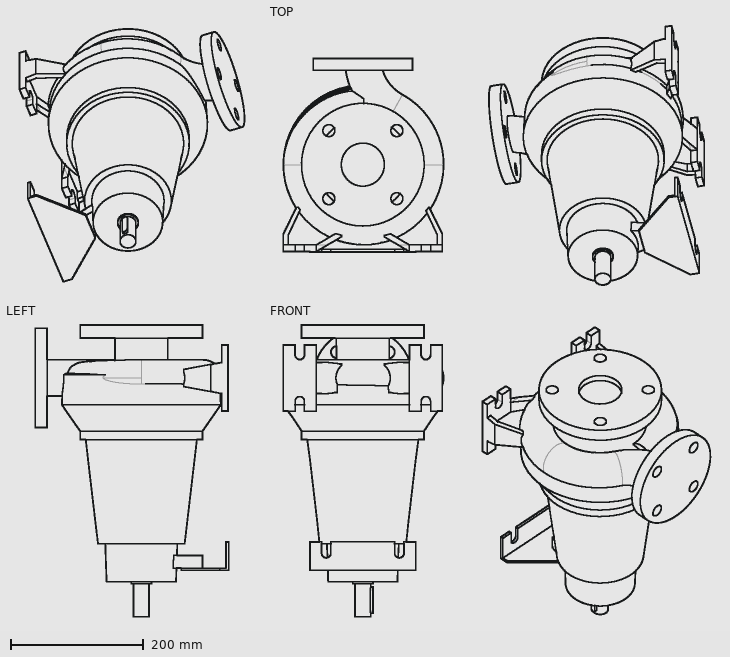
import cadquery as cq
import math


SUCTION_FACE_Z = 80.0
SUCTION_FLANGE_DIA = 185.0
SUCTION_FLANGE_THICKNESS = 20.0
SUCTION_BOLT_CIRCLE = 145.0
SUCTION_BORE_DIA = 65.0
SUCTION_BORE_DEPTH = 10.0
NECK_DIA = 80.0

DISCHARGE_FACE_Y = 160.0
DISCHARGE_FLANGE_DIA = 150.0
DISCHARGE_FLANGE_THICKNESS = 18.0
DISCHARGE_BOLT_CIRCLE = 110.0

FLANGE_HOLE_DIA = 18.0
FLANGE_HOLE_COUNT = 4
FLANGE_HOLE_START_ANGLE = 45.0

TUBE_RADIUS = 27.5
SCROLL_RADIUS = 93.5
SCROLL_CENTRE_X = 1.0
TONGUE_TUBE_RADIUS = 23.5
TONGUE_INSET = 5.0
TONGUE_EASING = 1.35
TONGUE_SECTIONS = 4
TONGUE_SWEEP_ANGLE = 90.0

CASING_RIM_RADIUS = 118.0
CASING_BOTTOM_RADIUS = 120.0
CASING_RIM_Z = 4.5
CASING_EDGE_RADIUS = 115.5
CASING_EDGE_Z = 6.5
CASING_CROWN_Z = 21.5
CASING_BOTTOM_Z = -40.5
BAND_RADIUS = SUCTION_FLANGE_DIA / 2
BAND_TOP_Z = -80.0
BAND_BOTTOM_Z = -93.0
BRACKET_TOP_RADIUS = 84.0
BRACKET_BOTTOM_RADIUS = 65.5
BRACKET_BOTTOM_Z = -250.0
HOUSING_TOP_RADIUS = 54.5
HOUSING_BOTTOM_RADIUS = 52.5
HOUSING_BOTTOM_Z = -307.5
COLLAR_RADIUS = 15.5
COLLAR_BOTTOM_Z = -310.5
SHAFT_RADIUS = 12.0
SHAFT_END_Z = -360.0

KEY_WIDTH = 8.0
KEY_LENGTH = 40.0
KEY_TOP_X = 15.5
KEY_CENTRE_Z = -335.0

FOOT_OUTER_X = 120.0
FOOT_WIDTH = 50.0
FOOT_HEIGHT = 100.0
FOOT_BACK_Y = -121.0
FOOT_FACE_Y = -131.0
FOOT_SLOT_WIDTH = 14.0
FOOT_SLOT_DEPTH = 22.0
RIB_THICKNESS = 7.5
RIB_BEND_Y = -104.5
RIB_INNER_BEND_Y = -106.4
RIB_TIP_Y = -64.0
RIB_TIP_X = 100.0
RIB_HALF_HEIGHT_AT_FOOT = 23.5
RIB_HALF_HEIGHT_AT_TIP = 13.0
INNER_RIB_TIP_X = 32.0
INNER_RIB_SLOPE = 0.59
WEB_THICKNESS = 8.0

SUPPORT_FACE_Y = -132.0
SUPPORT_WIDTH = 160.0
SUPPORT_TOP_Z = -247.0
SUPPORT_BOTTOM_Z = -290.0
SUPPORT_WALL = 4.5
SUPPORT_FLOOR = 3.5
SUPPORT_SLOT_X = 55.0
SUPPORT_SLOT_WIDTH = 14.0
SUPPORT_SLOT_DEPTH = 24.0
FLOOR_SHOULDER_Y = -118.0
FLOOR_TIP_Y = -60.0
FLOOR_TIP_HALF_WIDTH = 22.0
BLOCK_TOP_Z = -267.5
BLOCK_ROOT_Y = -48.0
BLOCK_ROOT_HALF_WIDTH = 23.0
BLOCK_END_Y = -92.5
BLOCK_END_HALF_WIDTH = 10.0


def flange(plane, diameter, thickness, bolt_circle):
    """Round flange growing along the plane's normal, with evenly spaced bolt holes."""
    disc = cq.Workplane(plane).circle(diameter / 2).extrude(thickness)
    holes = (
        cq.Workplane(plane)
        .polarArray(bolt_circle / 2, FLANGE_HOLE_START_ANGLE, 360, FLANGE_HOLE_COUNT)
        .circle(FLANGE_HOLE_DIA / 2)
        .extrude(thickness)
    )
    return disc.cut(holes)


def suction_nozzle():
    flange_bottom_z = SUCTION_FACE_Z - SUCTION_FLANGE_THICKNESS
    plane = cq.Plane((0, 0, flange_bottom_z), (0, -1, 0), (0, 0, 1))
    disc = flange(plane, SUCTION_FLANGE_DIA, SUCTION_FLANGE_THICKNESS, SUCTION_BOLT_CIRCLE)
    bore = (
        cq.Workplane("XY", origin=(0, 0, SUCTION_FACE_Z))
        .circle(SUCTION_BORE_DIA / 2)
        .extrude(-SUCTION_BORE_DEPTH)
    )
    neck = cq.Workplane("XY").circle(NECK_DIA / 2).extrude(flange_bottom_z)
    return disc.cut(bore).union(neck)


def discharge_flange():
    back_y = DISCHARGE_FACE_Y - DISCHARGE_FLANGE_THICKNESS
    plane = cq.Plane((0, back_y, 0), (0, 0, 1), (0, 1, 0))
    return flange(plane, DISCHARGE_FLANGE_DIA, DISCHARGE_FLANGE_THICKNESS, DISCHARGE_BOLT_CIRCLE)


def rotating_body():
    """Casing, bearing bracket, housing and shaft as one revolved profile."""
    profile = [
        (0, CASING_CROWN_Z),
        (NECK_DIA / 2, CASING_CROWN_Z),
        (CASING_EDGE_RADIUS, CASING_EDGE_Z),
        (CASING_RIM_RADIUS, CASING_RIM_Z),
        (CASING_BOTTOM_RADIUS, CASING_BOTTOM_Z),
        (BAND_RADIUS, BAND_TOP_Z),
        (BAND_RADIUS, BAND_BOTTOM_Z),
        (BRACKET_TOP_RADIUS, BAND_BOTTOM_Z),
        (BRACKET_BOTTOM_RADIUS, BRACKET_BOTTOM_Z),
        (HOUSING_TOP_RADIUS, BRACKET_BOTTOM_Z),
        (HOUSING_BOTTOM_RADIUS, HOUSING_BOTTOM_Z),
        (COLLAR_RADIUS, HOUSING_BOTTOM_Z),
        (COLLAR_RADIUS, COLLAR_BOTTOM_Z),
        (SHAFT_RADIUS, COLLAR_BOTTOM_Z),
        (SHAFT_RADIUS, SHAFT_END_Z),
        (0, SHAFT_END_Z),
    ]
    section = [(-radius, z) for radius, z in profile]
    return cq.Workplane("YZ").polyline(section).close().revolve(360, (0, 0), (0, 1))


def scroll_point(angle, inset=0):
    """Point at an angle in degrees from +X, inset from the scroll's centre-line circle."""
    turn = math.radians(angle)
    radius = SCROLL_RADIUS - inset
    return (SCROLL_CENTRE_X + radius * math.cos(turn), radius * math.sin(turn))


def scroll():
    """Tube from -X round the -Y side to +X, then bending back to leave along +Y at X = 0."""
    outlet_reach = DISCHARGE_FACE_Y**2 + SCROLL_CENTRE_X**2 - SCROLL_RADIUS**2
    outlet_radius = outlet_reach / (2 * (SCROLL_RADIUS + SCROLL_CENTRE_X))
    centre_x = outlet_radius - SCROLL_CENTRE_X
    touch_angle = math.degrees(math.atan2(DISCHARGE_FACE_Y, centre_x))
    mid_turn = math.radians(180 + touch_angle / 2)
    outlet_mid = (
        outlet_radius + outlet_radius * math.cos(mid_turn),
        DISCHARGE_FACE_Y + outlet_radius * math.sin(mid_turn),
    )
    path = (
        cq.Workplane("XY")
        .moveTo(*scroll_point(-180))
        .threePointArc(scroll_point(-90), scroll_point(0))
        .threePointArc(scroll_point(touch_angle / 2), scroll_point(touch_angle))
        .threePointArc(outlet_mid, (0, DISCHARGE_FACE_Y))
    )
    start_x = scroll_point(-180)[0]
    return cq.Workplane("XZ", origin=(start_x, 0, 0)).circle(TUBE_RADIUS).sweep(path)


def scroll_tongue():
    """Shrinking tube from -X round to +Y, where it ends inside the outlet."""
    sections = []
    for step in range(TONGUE_SECTIONS):
        share = step / (TONGUE_SECTIONS - 1)
        angle = 180 - TONGUE_SWEEP_ANGLE * share
        turn = math.radians(angle)
        shrink = share**TONGUE_EASING
        x, y = scroll_point(angle, TONGUE_INSET * shrink)
        radius = TUBE_RADIUS + (TONGUE_TUBE_RADIUS - TUBE_RADIUS) * shrink
        along = cq.Vector(math.sin(turn), -math.cos(turn), 0)
        sections.append(cq.Wire.makeCircle(radius, cq.Vector(x, y, 0), along))
    return cq.Workplane(obj=cq.Solid.makeLoft(sections))


def shaft_key():
    return (
        cq.Workplane("YZ", origin=(0, 0, KEY_CENTRE_Z))
        .slot2D(KEY_LENGTH, KEY_WIDTH, 90)
        .extrude(KEY_TOP_X)
    )


def open_slot(x, edge_z, depth, width):
    """Cutter along Y for a slot that opens at edge_z and has a round end; depth is signed along Z."""
    radius = math.copysign(width / 2, depth)
    return (
        cq.Workplane("XZ")
        .moveTo(x - width / 2, edge_z)
        .lineTo(x - width / 2, edge_z + depth - radius)
        .threePointArc((x, edge_z + depth), (x + width / 2, edge_z + depth - radius))
        .lineTo(x + width / 2, edge_z)
        .close()
        .extrude(-SUPPORT_FACE_Y)
    )


def casing_foot():
    """Foot on the +X side: slotted plate, two tapering ribs and a web between them."""
    inner_x = FOOT_OUTER_X - FOOT_WIDTH
    plate = cq.Workplane("XY").box(FOOT_WIDTH, FOOT_BACK_Y - FOOT_FACE_Y, FOOT_HEIGHT)
    plate = plate.translate((FOOT_OUTER_X - FOOT_WIDTH / 2, (FOOT_BACK_Y + FOOT_FACE_Y) / 2, 0))
    slot_x = FOOT_OUTER_X - FOOT_WIDTH / 2
    for side in (-1, 1):
        slot = open_slot(slot_x, side * FOOT_HEIGHT / 2, -side * FOOT_SLOT_DEPTH, FOOT_SLOT_WIDTH)
        plate = plate.cut(slot)

    outer_rib = [
        (FOOT_OUTER_X, FOOT_BACK_Y),
        (FOOT_OUTER_X, RIB_BEND_Y),
        (RIB_TIP_X, RIB_TIP_Y),
        (RIB_TIP_X - RIB_THICKNESS, RIB_TIP_Y),
        (FOOT_OUTER_X - RIB_THICKNESS, RIB_INNER_BEND_Y),
        (FOOT_OUTER_X - RIB_THICKNESS, FOOT_BACK_Y),
    ]
    inner_rise = INNER_RIB_SLOPE * (inner_x - INNER_RIB_TIP_X)
    inner_rib = [
        (inner_x, FOOT_BACK_Y),
        (INNER_RIB_TIP_X, FOOT_BACK_Y + inner_rise),
        (INNER_RIB_TIP_X, FOOT_FACE_Y + inner_rise),
        (inner_x, FOOT_FACE_Y),
    ]
    web = [
        (FOOT_OUTER_X - RIB_THICKNESS, FOOT_BACK_Y),
        (FOOT_OUTER_X - RIB_THICKNESS, RIB_BEND_Y),
        (RIB_TIP_X - RIB_THICKNESS, RIB_TIP_Y),
        (INNER_RIB_TIP_X, FOOT_BACK_Y + inner_rise),
        (inner_x, FOOT_BACK_Y),
    ]
    taper = (
        cq.Workplane("YZ")
        .polyline([
            (FOOT_FACE_Y, RIB_HALF_HEIGHT_AT_FOOT),
            (FOOT_BACK_Y, RIB_HALF_HEIGHT_AT_FOOT),
            (RIB_TIP_Y, RIB_HALF_HEIGHT_AT_TIP),
            (RIB_TIP_Y, -RIB_HALF_HEIGHT_AT_TIP),
            (FOOT_BACK_Y, -RIB_HALF_HEIGHT_AT_FOOT),
            (FOOT_FACE_Y, -RIB_HALF_HEIGHT_AT_FOOT),
        ])
        .close()
        .extrude(FOOT_OUTER_X)
    )
    foot = plate
    for outline in (outer_rib, inner_rib):
        rib = cq.Workplane("XY").polyline(outline).close().extrude(FOOT_HEIGHT / 2, both=True)
        foot = foot.union(rib.intersect(taper))
    return foot.union(cq.Workplane("XY").polyline(web).close().extrude(WEB_THICKNESS / 2, both=True))


def mirrored_outline(half):
    """Closed outline from its +X half, mirrored about X = 0."""
    return half + [(-x, y) for x, y in reversed(half)]


def bearing_support():
    """Angle foot under the bearing housing: slotted wall, floor and connecting block."""
    half_width = SUPPORT_WIDTH / 2
    height = SUPPORT_TOP_Z - SUPPORT_BOTTOM_Z
    wall = cq.Workplane("XY").box(SUPPORT_WIDTH, SUPPORT_WALL, height, centered=(True, False, False))
    wall = wall.translate((0, SUPPORT_FACE_Y, SUPPORT_BOTTOM_Z))
    for x in (-SUPPORT_SLOT_X, SUPPORT_SLOT_X):
        wall = wall.cut(open_slot(x, SUPPORT_TOP_Z, -SUPPORT_SLOT_DEPTH, SUPPORT_SLOT_WIDTH))

    floor_outline = mirrored_outline([
        (half_width, SUPPORT_FACE_Y),
        (half_width, FLOOR_SHOULDER_Y),
        (FLOOR_TIP_HALF_WIDTH, FLOOR_TIP_Y),
    ])
    floor = cq.Workplane("XY", origin=(0, 0, SUPPORT_BOTTOM_Z)).polyline(floor_outline).close()
    floor = floor.extrude(SUPPORT_FLOOR)

    block_outline = mirrored_outline([
        (BLOCK_END_HALF_WIDTH, BLOCK_END_Y),
        (BLOCK_ROOT_HALF_WIDTH, BLOCK_ROOT_Y),
    ])
    block_bottom_z = SUPPORT_BOTTOM_Z + SUPPORT_FLOOR
    block = cq.Workplane("XY", origin=(0, 0, block_bottom_z)).polyline(block_outline).close()
    block = block.extrude(BLOCK_TOP_Z - block_bottom_z)
    return wall.union(floor).union(block)


foot = casing_foot()
result = (
    rotating_body()
    .union(scroll())
    .union(scroll_tongue())
    .union(suction_nozzle())
    .union(discharge_flange())
    .union(shaft_key())
    .union(foot)
    .union(foot.mirror("YZ"))
    .union(bearing_support())
)